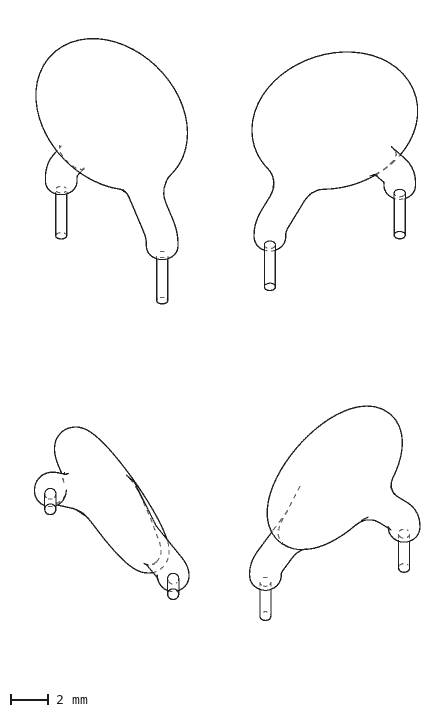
import cadquery as cq
import math

overall_height = 14.5
disc_radius = 4.5
rim_radius = 1.0
dome_half_thickness = 1.35
rim_edge_radius = 3.68
leg_radius = 1.7 / 2
leg_x = 7.63 / 2
leg_y = 2.54 / 2
leg_crest_y = 1.52
inner_leg_y = leg_crest_y - leg_radius
kink_x = 1.88
kink_z = -2.78
elbow_z = -5.73
kink_trim = 0.29
elbow_trim = 0.55
tip_bend_radius = 0.44
leg_bottom_z = -7.0
leg_end_rounding = 0.55
blend_radius = 1.74
lead_diameter = 0.6
lead_bottom_z = disc_radius - overall_height


def make_disc():
    """Lens-shaped disc with a rounded rim, revolved about Y."""
    rim_centre = disc_radius - rim_radius
    rim_edge_y = math.sqrt(rim_radius**2 - (rim_edge_radius - rim_centre) ** 2)
    rise = dome_half_thickness - rim_edge_y
    dome_radius = (rim_edge_radius**2 + rise**2) / (2 * rise)
    mid_x = rim_edge_radius / 2
    mid_y = dome_half_thickness - dome_radius + math.sqrt(dome_radius**2 - mid_x**2)
    return (
        cq.Workplane("XY")
        .moveTo(0, -dome_half_thickness)
        .threePointArc((mid_x, -mid_y), (rim_edge_radius, -rim_edge_y))
        .threePointArc((disc_radius, 0), (rim_edge_radius, rim_edge_y))
        .threePointArc((mid_x, mid_y), (0, dome_half_thickness))
        .close()
        .revolve(360, (0, 0, 0), (0, 1, 0))
    )


def bend(before, corner, after, trim):
    """Arc that rounds a corner, starting and ending one tangent length from it."""
    to_before = (before - corner).normalized()
    to_after = (after - corner).normalized()
    start = corner + to_before * trim
    end = corner + to_after * trim
    return cq.Edge.makeTangentArc(start, to_before * -1, end)


def make_leg():
    """Front leg: a round tube that turns into the disc at its centre, with a rounded lower end."""
    top = cq.Vector(0, -inner_leg_y, 0)
    kink = cq.Vector(kink_x, -inner_leg_y, kink_z)
    elbow = cq.Vector(leg_x, -leg_y, elbow_z)
    bottom = cq.Vector(leg_x, -leg_y, leg_bottom_z)
    kink_arc = bend(top, kink, elbow, kink_trim)
    elbow_arc = bend(kink, elbow, bottom, elbow_trim)
    path = cq.Wire.assembleEdges([
        cq.Edge.makeLine(top, kink_arc.startPoint()),
        kink_arc,
        cq.Edge.makeLine(kink_arc.endPoint(), elbow_arc.startPoint()),
        elbow_arc,
        cq.Edge.makeLine(elbow_arc.endPoint(), bottom),
    ])
    section = cq.Plane(origin=top.toTuple(), xDir=(0, -1, 0), normal=(kink - top).toTuple())
    tube = cq.Workplane(section).circle(leg_radius).sweep(cq.Workplane(path))
    tube = tube.faces("<Z").edges().fillet(leg_end_rounding)
    return tube.union(make_leg_tip(section))


def make_leg_tip(section):
    """Quarter-turn end of the leg: the tube outline, cut at the bend axis and revolved about it."""
    half_chord = math.sqrt(leg_radius**2 - tip_bend_radius**2)
    return (
        cq.Workplane(section)
        .moveTo(-tip_bend_radius, -half_chord)
        .threePointArc((leg_radius, 0), (-tip_bend_radius, half_chord))
        .close()
        .revolve(90, (-tip_bend_radius, 0), (-tip_bend_radius, 1))
    )


def is_joint(edge, disc, leg):
    """True for an edge that lies on the surfaces of both the disc and the leg."""
    point = cq.Vertex.makeVertex(*edge.positionAt(0.5).toTuple())
    tolerance = 0.001
    return all(
        min(point.distance(face) for face in body.faces().vals()) < tolerance
        for body in (disc, leg)
    )


def attach_legs(disc, legs):
    """Join the legs to the disc and blend the seams between them."""
    joined = disc
    for leg in legs:
        joined = joined.union(leg)
    seams = [
        edge for edge in joined.edges().vals()
        if any(is_joint(edge, disc, leg) for leg in legs)
    ]
    return joined.newObject(seams).fillet(blend_radius)


def make_lead():
    """Front wire lead, starting at the flat lower end of the leg."""
    return (
        cq.Workplane("XY", origin=(leg_x, -leg_y, lead_bottom_z))
        .circle(lead_diameter / 2)
        .extrude(leg_bottom_z - lead_bottom_z)
    )


half_turns = (0, 180)
front_leg = make_leg()
legs = [front_leg.rotate((0, 0, 0), (0, 0, 1), angle) for angle in half_turns]
coated_body = attach_legs(make_disc(), legs)

leads = [make_lead().rotate((0, 0, 0), (0, 0, 1), angle) for angle in half_turns]

result = cq.Compound.makeCompound([coated_body.val(), *(lead.val() for lead in leads)])